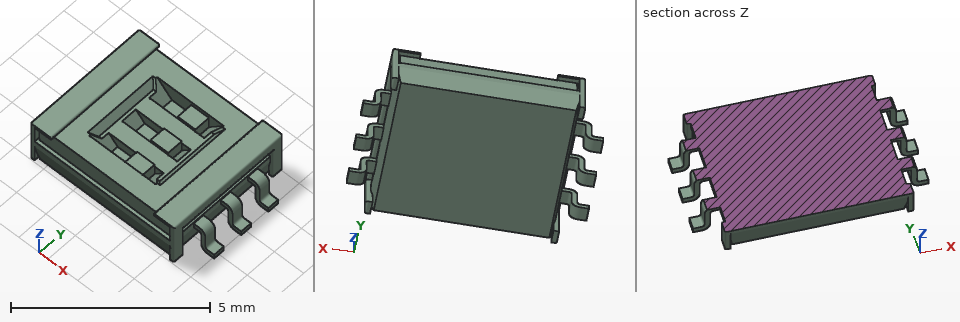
import cadquery as cq

overall_length = 6.1
overall_width = 4.0
overall_height = 1.5
standoff = 0.08
row_pitch = 1.0

flange_length = 4.7
flange_bottom = 0.65
flange_top = 0.86
cover_length = 4.5
cover_width = 3.77
base_bottom_length = 4.46
base_bottom_width = 3.76

clip_span = 4.9
clip_wall = 0.15
clip_lip_thickness = 0.08
clip_lip_gap = 3.49
clip_edge_radius = 0.05
window_width = 3.3
window_top = 1.16

recess_length = 2.46
recess_width = 2.4
recess_depth = 0.195
slot_width = 0.5
slot_length = 1.87
slot_depth = 0.305

actuator_start = 0.03
actuator_end = slot_length / 2 - slot_depth
actuator_rise = 0.08

pin_width = 0.36
pin_thickness = 0.15
pin_top = 0.82
pin_inner_radius = 0.07
pin_leg_x = 2.755

cover_top = overall_height - clip_lip_thickness
recess_floor = cover_top - recess_depth
slot_floor = recess_floor - slot_depth
row_positions = [-row_pitch, 0, row_pitch]


def block(x_start, x_end, width, z_start, z_end, y_center=0):
    """Box between two X and two Z positions, centred on y_center."""
    return cq.Workplane("XY").box(
        x_end - x_start, width, z_end - z_start, centered=(False, True, False)
    ).translate((x_start, y_center, z_start))


def both_ends(end_part):
    """The given -X end part together with its mirror image at +X."""
    return end_part.union(end_part.mirror("YZ"))


def make_housing():
    """Cover above a square-edged flange, with a base tapering in below it."""
    flange = block(-flange_length / 2, flange_length / 2, overall_width, flange_bottom, flange_top)
    cover = block(-cover_length / 2, cover_length / 2, cover_width, flange_top, cover_top)
    base = (
        cq.Workplane("XY").workplane(offset=standoff)
        .rect(base_bottom_length, base_bottom_width)
        .workplane(offset=flange_bottom - standoff)
        .rect(flange_length, overall_width)
        .loft(ruled=True)
    )
    return flange.union(cover).union(base)


def make_recess():
    """Pocket with 45 degree walls."""
    return (
        cq.Workplane("XY").workplane(offset=recess_floor)
        .rect(recess_length - 2 * recess_depth, recess_width - 2 * recess_depth)
        .workplane(offset=recess_depth)
        .rect(recess_length, recess_width)
        .loft(ruled=True)
    )


def make_slot(y_center):
    """Actuator slot whose ends slope at 45 degrees all the way to the cover top."""
    floor_half = slot_length / 2 - slot_depth
    top_half = slot_length / 2 + recess_depth
    return (
        cq.Workplane("XZ")
        .moveTo(-floor_half, slot_floor)
        .lineTo(floor_half, slot_floor)
        .lineTo(top_half, cover_top)
        .lineTo(-top_half, cover_top)
        .close()
        .extrude(slot_width / 2, both=True)
        .translate((0, y_center, 0))
    )


def make_actuator(y_center):
    """Slider filling the slot width, parked at the +X end of its slot."""
    return block(
        actuator_start, actuator_end, slot_width, slot_floor, recess_floor + actuator_rise, y_center
    )


def make_clip():
    """Clip at the -X end: a wall with a pin window and a lip over the cover."""
    outer_x = -clip_span / 2
    inner_x = outer_x + clip_wall
    wall = block(outer_x, inner_x, overall_width, standoff, overall_height)
    window = block(outer_x, inner_x, window_width, standoff, window_top)
    lip = block(outer_x, -clip_lip_gap / 2, overall_width, cover_top, overall_height)
    clip = wall.cut(window).union(lip)
    clip = clip.faces("<X").edges().fillet(clip_edge_radius)
    return clip.faces(">X").edges(">Z").fillet(clip_edge_radius)


def make_pin(y_center):
    """Gull-wing pin at the -X end, bent from strip of constant thickness."""
    tip_x = -overall_length / 2
    root_x = -flange_length / 2
    leg_outer = -pin_leg_x
    leg_inner = leg_outer + pin_thickness
    inner_r = pin_inner_radius
    outer_r = inner_r + pin_thickness
    pin_underside = pin_top - pin_thickness
    return (
        cq.Workplane("XZ")
        .moveTo(tip_x, 0)
        .lineTo(leg_inner - outer_r, 0)
        .radiusArc((leg_inner, outer_r), -outer_r)
        .lineTo(leg_inner, pin_underside - inner_r)
        .radiusArc((leg_inner + inner_r, pin_underside), inner_r)
        .lineTo(root_x, pin_underside)
        .lineTo(root_x, pin_top)
        .lineTo(leg_outer + outer_r, pin_top)
        .radiusArc((leg_outer, pin_top - outer_r), -outer_r)
        .lineTo(leg_outer, pin_thickness + inner_r)
        .radiusArc((leg_outer - inner_r, pin_thickness), inner_r)
        .lineTo(tip_x, pin_thickness)
        .close()
        .extrude(pin_width / 2, both=True)
        .translate((0, y_center, 0))
    )


housing = make_housing().cut(make_recess())
for row_y in row_positions:
    housing = housing.cut(make_slot(row_y)).union(make_actuator(row_y))

result = housing.union(both_ends(make_clip()))
for row_y in row_positions:
    result = result.union(both_ends(make_pin(row_y)))